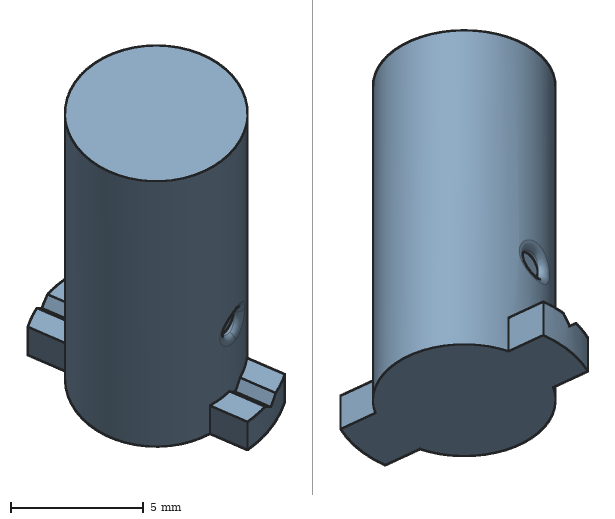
import cadquery as cq
import math

body_diameter = 6.9
body_height = 15.0

lug_span_diameter = 10.0
lug_width = 2.8
lug_height = 1.6

groove_depth = 0.4
groove_width = 2 * groove_depth

dimple_mouth_diameter = 1.28
dimple_depth = 0.38
dimple_taper_angle = 16.0
dimple_rim_fillet = 0.33
dimple_center_height = 5.0

body_radius = body_diameter / 2
dimple_floor_distance = body_radius - dimple_depth


def make_body():
    return cq.Workplane("XY").circle(body_radius).extrude(body_height)


def make_lugs():
    """Bar across the body, its ends rounded about the body axis and its top grooved."""
    disc = cq.Workplane("XY").circle(lug_span_diameter / 2).extrude(lug_height)
    bar = cq.Workplane("XY").rect(lug_span_diameter, lug_width).extrude(lug_height)
    groove = (
        cq.Workplane("YZ")
        .moveTo(-groove_width / 2, lug_height)
        .lineTo(0, lug_height - groove_depth)
        .lineTo(groove_width / 2, lug_height)
        .close()
        .extrude(lug_span_diameter / 2, both=True)
    )
    return disc.intersect(bar).cut(groove)


def make_dimple_cutter():
    """Cone frustum along X that widens from the dimple floor outwards, past the body surface."""
    mouth_radius = dimple_mouth_diameter / 2
    taper = math.tan(math.radians(dimple_taper_angle))
    outer_distance = body_radius + dimple_depth
    return (
        cq.Workplane("XY")
        .moveTo(dimple_floor_distance, 0)
        .lineTo(dimple_floor_distance, mouth_radius - dimple_depth * taper)
        .lineTo(outer_distance, mouth_radius + dimple_depth * taper)
        .lineTo(outer_distance, 0)
        .close()
        .revolve(360, (0, 0, 0), (1, 0, 0))
        .translate((0, 0, dimple_center_height))
    )


def cut_dimple(body):
    """Sink a dimple into the +X flank of the body and round its rim."""
    box_reach = dimple_mouth_diameter
    rim_box = cq.selectors.BoxSelector(
        (body_radius - dimple_depth / 2, -box_reach, dimple_center_height - box_reach),
        (body_diameter, box_reach, dimple_center_height + box_reach),
    )
    return body.cut(make_dimple_cutter()).edges(rim_box).fillet(dimple_rim_fillet)


body = make_body()
for _ in range(2):
    body = cut_dimple(body).rotate((0, 0, 0), (0, 0, 1), 180)

result = body.union(make_lugs())